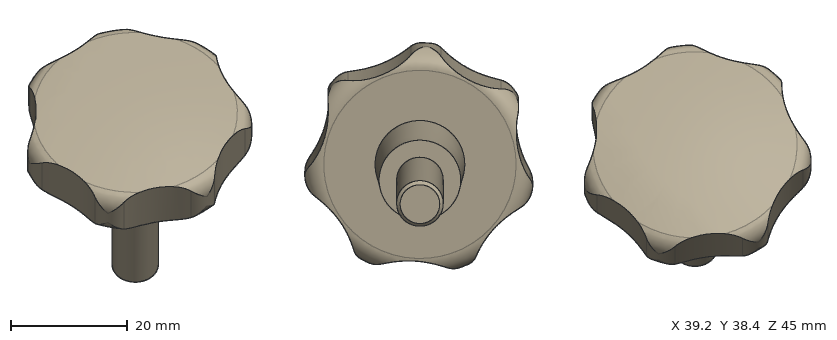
import cadquery as cq
import math

stud_length = 20.0
hub_height = 13.0
head_height = 12.0
head_top = hub_height + head_height

stud_radius = 4.0
stud_chamfer = 0.6

hub_bottom_radius = 7.0
hub_top_radius = 7.7

head_radius = 20.0
dome_radius = 60.0
rim_fillet = 3.5

lobe_count = 7
lobe_radius = 3.5
valley_floor_radius = 17.0
first_lobe_angle = -90.0


def polar(radius, degrees):
    """Point at a distance and angle from the axis."""
    angle = math.radians(degrees)
    return (radius * math.cos(angle), radius * math.sin(angle))


def make_stem():
    """Stud with a chamfered end, carrying the tapered hub."""
    return (
        cq.Workplane("XZ")
        .moveTo(0, -stud_length)
        .lineTo(stud_radius - stud_chamfer, -stud_length)
        .lineTo(stud_radius, -stud_length + stud_chamfer)
        .lineTo(stud_radius, 0)
        .lineTo(hub_bottom_radius, 0)
        .lineTo(hub_top_radius, hub_height)
        .lineTo(0, hub_height)
        .close()
        .revolve(360, (0, 0, 0), (0, 1, 0))
    )


def make_domed_disc():
    """Disc with rounded rim; the upper rounding runs tangent into the dome."""
    fillet_center_r = head_radius - rim_fillet
    dome_center_z = head_top - dome_radius
    lower_center_z = hub_height + rim_fillet
    center_distance = dome_radius - rim_fillet
    upper_center_z = dome_center_z + math.sqrt(center_distance**2 - fillet_center_r**2)

    seam_angle = math.asin(fillet_center_r / center_distance)

    def on_dome(angle):
        return (dome_radius * math.sin(angle), dome_center_z + dome_radius * math.cos(angle))

    def on_rounding(center_z, degrees):
        offset_r, offset_z = polar(rim_fillet, degrees)
        return (fillet_center_r + offset_r, center_z + offset_z)

    seam_degrees = 90 - math.degrees(seam_angle)
    return (
        cq.Workplane("XZ")
        .moveTo(0, hub_height)
        .lineTo(fillet_center_r, hub_height)
        .threePointArc(on_rounding(lower_center_z, -45), (head_radius, lower_center_z))
        .lineTo(head_radius, upper_center_z)
        .threePointArc(on_rounding(upper_center_z, seam_degrees / 2), on_dome(seam_angle))
        .threePointArc(on_dome(seam_angle / 2), (0, head_top))
        .close()
        .revolve(360, (0, 0, 0), (0, 1, 0))
    )


def make_lobed_prism():
    """Prism of rounded lobes joined by tangent concave valleys."""
    pitch = 360 / lobe_count
    half_pitch = math.radians(pitch / 2)
    lobe_center_r = head_radius - lobe_radius

    inner_reach = valley_floor_radius - lobe_radius
    valley_center_r = (lobe_center_r**2 - inner_reach**2) / (
        2 * (lobe_center_r * math.cos(half_pitch) - inner_reach)
    )
    to_valley_x = valley_center_r * math.cos(half_pitch) - lobe_center_r
    to_valley_y = valley_center_r * math.sin(half_pitch)
    tangent_angle = math.atan2(to_valley_y, to_valley_x)

    tangent_x = lobe_center_r + lobe_radius * math.cos(tangent_angle)
    tangent_y = lobe_radius * math.sin(tangent_angle)
    tangent_r = math.hypot(tangent_x, tangent_y)
    tangent_offset = math.degrees(math.atan2(tangent_y, tangent_x))

    outline = cq.Workplane("XY", origin=(0, 0, hub_height))
    outline = outline.moveTo(*polar(tangent_r, first_lobe_angle - tangent_offset))
    for index in range(lobe_count):
        lobe_angle = first_lobe_angle + index * pitch
        outline = outline.threePointArc(
            polar(head_radius, lobe_angle),
            polar(tangent_r, lobe_angle + tangent_offset),
        )
        outline = outline.threePointArc(
            polar(valley_floor_radius, lobe_angle + pitch / 2),
            polar(tangent_r, lobe_angle + pitch - tangent_offset),
        )
    return outline.close().extrude(head_height)


head = make_domed_disc().intersect(make_lobed_prism())
result = head.union(make_stem())